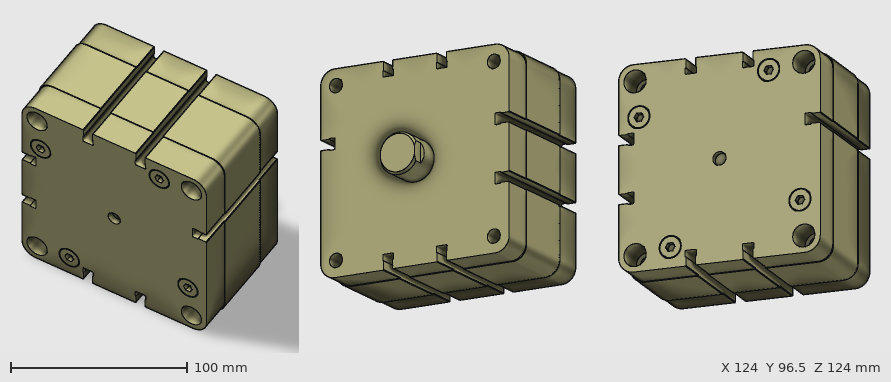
import cadquery as cq
import math

barrel_side = 124.0
cap_side = 123.0
corner_radius = 9.2
cap_length = 19.2
barrel_length = 38.1
body_length = 2 * cap_length + barrel_length

rod_length = 20.0
rod_diameter = 25.0
rod_chamfer_length = 1.7
rod_chamfer_depth = 1.2
flats_width = 22.1
flats_length = 7.2
flats_runout = 1.5

slot_offset = 17.5
slot_mouth = 6.0
slot_shoulder_depth = 6.0
slot_base_width = 7.0
slot_depth = 9.8
slot_fillet = 0.7
slot_mouth_chamfer = 0.4
slot_layout = [
    (0, (-slot_offset, slot_offset)),
    (90, (-slot_offset,)),
    (180, (-slot_offset, slot_offset)),
    (270, (-slot_offset, slot_offset)),
]

mount_offset = 51.5
mount_diameter = 8.4
mount_counterbore = 13.5
mount_counterbore_depth = cap_length

screw_near = 30.0
screw_far = 49.1
screw_recess = 13.5
screw_head = 12.5
screw_head_height = 6.0
screw_key_flats = 5.0
screw_key_depth = 3.7

port_diameter = 8.0
port_depth = 4.0


def front_plane(y):
    """Sketch plane at the given Y with local X along X, local Y along Z, facing -Y."""
    return cq.Workplane("XZ", origin=(0, y, 0))


def make_slot(side, start, length, offset, side_angle):
    """Slot cutter for one body section, open on the top face turned by side_angle about Y."""
    face = side / 2
    floor = barrel_side / 2 - slot_depth
    base_height = slot_depth - slot_shoulder_depth
    base = (
        front_plane(start)
        .center(offset, floor + base_height / 2)
        .rect(slot_base_width, base_height)
        .extrude(-length)
        .edges("|Y")
        .fillet(slot_fillet)
    )
    half_mouth = slot_mouth / 2
    half_flare = half_mouth + slot_mouth_chamfer
    mouth_bottom = floor + slot_fillet
    chamfer_bottom = face - slot_mouth_chamfer
    mouth = (
        front_plane(start)
        .center(offset, 0)
        .moveTo(-half_mouth, mouth_bottom)
        .lineTo(half_mouth, mouth_bottom)
        .lineTo(half_mouth, chamfer_bottom)
        .lineTo(half_flare, face)
        .lineTo(-half_flare, face)
        .lineTo(-half_mouth, chamfer_bottom)
        .close()
        .extrude(-length)
    )
    return base.union(mouth).rotate((0, 0, 0), (0, 1, 0), side_angle)


def make_section(side, start, length):
    """Rounded square block with its stretch of every slot."""
    section = front_plane(start).rect(side, side).extrude(-length).edges("|Y").fillet(corner_radius)
    for side_angle, offsets in slot_layout:
        for offset in offsets:
            section = section.cut(make_slot(side, start, length, offset, side_angle))
    return section


def make_body():
    front_cap = make_section(cap_side, 0, cap_length)
    barrel = make_section(barrel_side, cap_length, barrel_length)
    rear_cap = make_section(cap_side, cap_length + barrel_length, cap_length)
    return front_cap.union(barrel).union(rear_cap)


def cut_mounting_holes(body):
    centres = [(x, z) for x in (-mount_offset, mount_offset) for z in (-mount_offset, mount_offset)]
    through = front_plane(0).pushPoints(centres).circle(mount_diameter / 2).extrude(-body_length)
    wide = front_plane(0).pushPoints(centres).circle(mount_counterbore / 2).extrude(-mount_counterbore_depth)
    return body.cut(through).cut(wide)


def cut_screws(body):
    """Leave each screw head standing in a ring-shaped gap, with a hexagon key socket."""
    centres = [
        (-screw_far, screw_near),
        (screw_near, screw_far),
        (screw_far, -screw_near),
        (-screw_near, -screw_far),
    ]
    gaps = (
        front_plane(0)
        .pushPoints(centres)
        .circle(screw_recess / 2)
        .circle(screw_head / 2)
        .extrude(-screw_head_height)
    )
    key_corners = screw_key_flats / math.cos(math.pi / 6)
    sockets = front_plane(0).pushPoints(centres).polygon(6, key_corners).extrude(-screw_key_depth)
    return body.cut(gaps).cut(sockets)


def cut_port(body):
    return body.cut(front_plane(0).circle(port_diameter / 2).extrude(-port_depth))


def make_rod():
    radius = rod_diameter / 2
    tip_radius = radius - rod_chamfer_depth
    rod = (
        cq.Workplane("XY", origin=(0, body_length, 0))
        .moveTo(0, 0)
        .lineTo(radius, 0)
        .lineTo(radius, rod_length - rod_chamfer_length)
        .lineTo(tip_radius, rod_length)
        .lineTo(0, rod_length)
        .close()
        .revolve(360, (0, 0, 0), (0, 1, 0))
    )
    flat = flats_width / 2
    flat_cutter = (
        cq.Workplane("XY", origin=(0, body_length, 0))
        .moveTo(flat, rod_length)
        .lineTo(flat, rod_length - flats_length)
        .lineTo(radius, rod_length - flats_length - flats_runout)
        .lineTo(radius, rod_length)
        .close()
        .extrude(radius, both=True)
    )
    return rod.cut(flat_cutter).cut(flat_cutter.mirror("YZ"))


body = make_body()
body = cut_mounting_holes(body)
body = cut_screws(body)
body = cut_port(body)
result = body.union(make_rod())